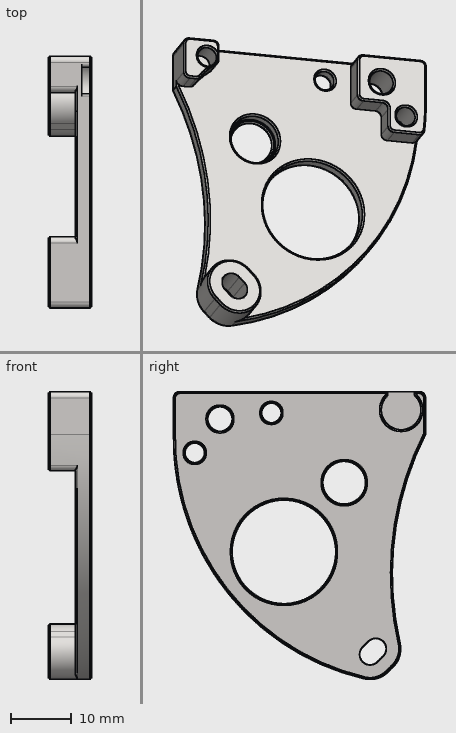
import cadquery as cq
import math


total_height = 7.08
plate_thickness = 2.66
edge_chamfer = 0.3

plate_width = 41.37
plate_length = 47.24
straight_side = 7.0
outer_radius = 40.6
concave_radius = 51.0
corner_radius = 1.0

boss_radius = 4.1
slot_width = 3.4
slot_low_u = 9.1
slot_shift = 0.93
slot_angle = -45.0

post_width = 6.0
post_height = 7.0
post_clearance_radius = 13.4
post_hole_center = (4.0, 4.0)
post_hole_depth = total_height - plate_thickness
post_corner_radius = 0.8
post_recess_diameter = 6.5
recess_mouth_radius = 0.4
post_recess_depth = 1.64

pad_left = 29.64
pad_step_left = 34.86
pad_step_drop = 8.03
pad_drop = 13.0
pad_overhang = 1.0

small_diameter = 3.2
small_plate_center = (25.3, 3.5)
small_pad_center = (37.88, -3.05)
medium_diameter = 4.0
medium_center = (33.74, 2.5)
bearing_center = (13.35, -7.95)
bearing_diameter = 7.0
bearing_bore_diameter = 8.1
bearing_bore_depth = 2.0
large_center = (23.24, -19.3)
large_diameter = 17.0

block_root = post_recess_depth
block_height = total_height - block_root
boss_root = plate_thickness - edge_chamfer
top_edge = straight_side
slot_low_w = top_edge - plate_length + boss_radius
slot_low = (slot_low_u, slot_low_w)
slot_high = (slot_low_u - slot_shift, slot_low_w + slot_shift)


def sketch_at(height):
    """Workplane parallel to the plate, seen from the front, at a height above the rear face."""
    return cq.Workplane(cq.Plane(origin=(-height, 0, 0), xDir=(0, -1, 0), normal=(-1, 0, 0)))


def toward(start, end, distance):
    """Point at a distance from start on the way to end."""
    scale = distance / math.dist(start, end)
    return (start[0] + (end[0] - start[0]) * scale, start[1] + (end[1] - start[1]) * scale)


def middle_of_arc(center, radius, start, end):
    """Middle point of the shorter arc from start to end."""
    chord_middle = ((start[0] + end[0]) / 2, (start[1] + end[1]) / 2)
    return toward(center, chord_middle, radius)


def circle_meeting(first, first_radius, second, second_radius):
    """Meeting point of two circles, on the left of the way from second to first."""
    gap = math.dist(first, second)
    along = (first_radius ** 2 - second_radius ** 2 + gap ** 2) / (2 * gap)
    aside = math.sqrt(first_radius ** 2 - along ** 2)
    du = (second[0] - first[0]) / gap
    dw = (second[1] - first[1]) / gap
    return (first[0] + along * du + aside * dw, first[1] + along * dw - aside * du)


def outline(height):
    """Plate outline with sharp upper corners, extruded from the rear face."""
    left_end = (0.0, 0.0)
    right_end = (plate_width, 0.0)
    outer_center = circle_meeting(right_end, outer_radius, slot_low, outer_radius - boss_radius)
    outer_end = toward(outer_center, slot_low, outer_radius)
    concave_center = circle_meeting(left_end, concave_radius, slot_high, concave_radius + boss_radius)
    concave_start = toward(slot_high, concave_center, boss_radius)
    offset = boss_radius / math.sqrt(2)
    flat_start = (slot_low[0] - offset, slot_low[1] - offset)
    flat_end = (slot_high[0] - offset, slot_high[1] - offset)
    return (
        sketch_at(0)
        .moveTo(*left_end)
        .lineTo(0, top_edge)
        .lineTo(plate_width, top_edge)
        .lineTo(*right_end)
        .threePointArc(middle_of_arc(outer_center, outer_radius, right_end, outer_end), outer_end)
        .threePointArc(middle_of_arc(slot_low, boss_radius, outer_end, flat_start), flat_start)
        .lineTo(*flat_end)
        .threePointArc(middle_of_arc(slot_high, boss_radius, flat_end, concave_start), concave_start)
        .threePointArc(middle_of_arc(concave_center, concave_radius, concave_start, left_end), left_end)
        .close()
        .extrude(height)
    )


def round_upper_corners(shape):
    return shape.edges("|X and >Z").edges("<Y or >Y").fillet(corner_radius)


def post_recess():
    """Round recess in the rear face behind the post, open at the top edge."""
    radius = post_recess_diameter / 2
    return sketch_at(0).center(*post_hole_center).circle(radius).extrude(post_recess_depth)


def plate():
    """Plate with the recess and its rounded mouth, chamfered along the front and rear faces."""
    shape = outline(plate_thickness).cut(post_recess())
    shape = shape.edges("|X and >Z").edges("not (<Y or >Y)").fillet(recess_mouth_radius)
    return round_upper_corners(shape).faces("<X or >X").edges().chamfer(edge_chamfer)


def trim_to_outline(block):
    return block.intersect(round_upper_corners(outline(total_height)))


def chamfer_front(block):
    return block.faces("<X").edges().chamfer(edge_chamfer)


def slot_shape(start_height, width, height):
    """Slot lying across the part at 45 degrees, between the two slot end centres."""
    middle = ((slot_low[0] + slot_high[0]) / 2, (slot_low[1] + slot_high[1]) / 2)
    length = math.dist(slot_low, slot_high) + width
    return sketch_at(start_height).center(*middle).slot2D(length, width, slot_angle).extrude(height)


def boss():
    height = total_height - boss_root
    return chamfer_front(slot_shape(boss_root, 2 * boss_radius, height))


def post():
    bottom = top_edge - post_height
    middle_height = (block_root + total_height) / 2
    drop_u = post_width - bearing_center[0]
    side_end = (
        post_width,
        bearing_center[1] + math.sqrt(post_clearance_radius ** 2 - drop_u ** 2),
    )
    drop_w = bottom - bearing_center[1]
    bottom_end = (
        bearing_center[0] - math.sqrt(post_clearance_radius ** 2 - drop_w ** 2),
        bottom,
    )
    arc_middle = middle_of_arc(bearing_center, post_clearance_radius, side_end, bottom_end)
    block = (
        sketch_at(block_root)
        .moveTo(0, bottom)
        .lineTo(0, top_edge)
        .lineTo(post_width, top_edge)
        .lineTo(*side_end)
        .threePointArc(arc_middle, bottom_end)
        .close()
        .extrude(block_height)
        .edges("|X and (>Z or <Z)")
        .fillet(corner_radius)
    )
    lower_right_corner = cq.selectors.NearestToPointSelector((-middle_height, -side_end[0], side_end[1]))
    block = block.edges(lower_right_corner).fillet(post_corner_radius)
    return chamfer_front(trim_to_outline(block))


def pad():
    step = top_edge - pad_step_drop
    bottom = top_edge - pad_drop
    right = plate_width + pad_overhang
    block = (
        sketch_at(block_root)
        .moveTo(pad_left, top_edge)
        .lineTo(right, top_edge)
        .lineTo(right, bottom)
        .lineTo(pad_step_left, bottom)
        .lineTo(pad_step_left, step)
        .lineTo(pad_left, step)
        .close()
        .extrude(block_height)
        .edges("|X")
        .edges("not (<Y and <Z)")
        .fillet(corner_radius)
    )
    block = trim_to_outline(block)
    block = block.edges("|X").edges(">(0, -1, -1)").fillet(corner_radius)
    return chamfer_front(block)


def rim(center, diameter, face_height, narrow_height):
    """Cone that breaks the edge of a hole, widest at the face and narrowing into the part."""
    return (
        sketch_at(face_height)
        .center(*center)
        .circle(diameter / 2 + edge_chamfer)
        .workplane(offset=narrow_height - face_height)
        .circle(diameter / 2)
        .loft(ruled=True)
    )


def blind_hole(center, diameter, front, depth):
    """Hole cut from a front height down by a depth, with a chamfered mouth."""
    bore = sketch_at(front - depth).center(*center).circle(diameter / 2).extrude(depth)
    return bore.union(rim(center, diameter, front, front - edge_chamfer))


def through_hole(center, diameter, front):
    """Hole from a front height out through the rear face, chamfered at both ends."""
    return blind_hole(center, diameter, front, front).union(rim(center, diameter, 0, edge_chamfer))


def holes():
    bearing_floor = plate_thickness - bearing_bore_depth
    through_holes = [
        (small_plate_center, small_diameter, plate_thickness),
        (small_pad_center, small_diameter, total_height),
        (medium_center, medium_diameter, total_height),
        (large_center, large_diameter, plate_thickness),
        (bearing_center, bearing_diameter, bearing_floor),
    ]
    cuts = slot_shape(0, slot_width, total_height)
    for center, diameter, front in through_holes:
        cuts = cuts.union(through_hole(center, diameter, front))
    cuts = cuts.union(blind_hole(post_hole_center, small_diameter, total_height, post_hole_depth))
    bearing_bore = blind_hole(bearing_center, bearing_bore_diameter, plate_thickness, bearing_bore_depth)
    return cuts.union(bearing_bore)


body = plate().union(boss()).union(post()).union(pad())
result = body.cut(holes())